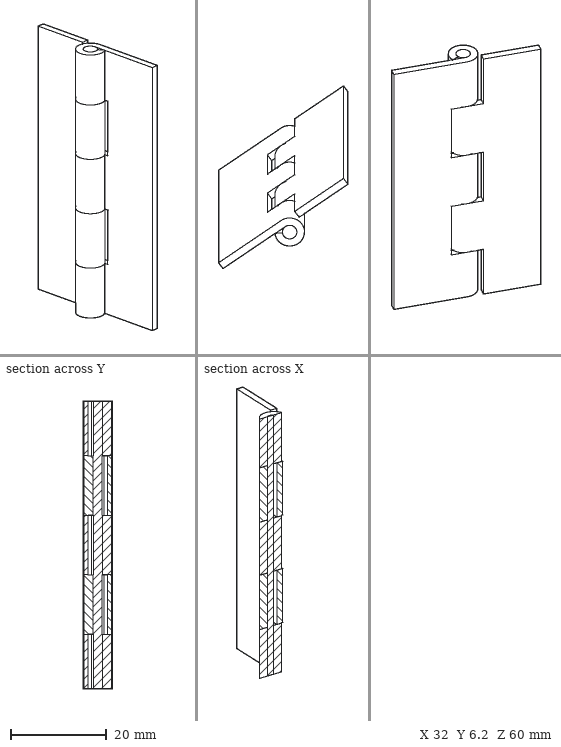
import cadquery as cq
import math

hinge_width = 32.0
hinge_height = 60.0
barrel_diameter = 6.2
sheet_thickness = 1.6
inner_knuckle_count = 3
inner_knuckle_length = 2 * barrel_diameter
barrel_clearance = 0.4
curl_end_angle = 30.0

barrel_radius = barrel_diameter / 2
pin_radius = barrel_radius - sheet_thickness
plate_edge = barrel_radius + barrel_clearance
plate_width = hinge_width / 2 - plate_edge
end_knuckle_length = (hinge_height - inner_knuckle_count * inner_knuckle_length) / 2

knuckle_lengths = [end_knuckle_length] + inner_knuckle_count * [inner_knuckle_length] + [end_knuckle_length]
knuckles = []
knuckle_start = -hinge_height / 2
for length in knuckle_lengths:
    knuckles.append((knuckle_start, length))
    knuckle_start += length


def point_on_circle(radius, angle):
    return (radius * math.cos(math.radians(angle)), radius * math.sin(math.radians(angle)))


def make_plate():
    """Flat part of a leaf on the +X side, clear of the barrel."""
    return (
        cq.Workplane("XY")
        .box(plate_width, sheet_thickness, hinge_height, centered=(False, False, True))
        .translate((plate_edge, pin_radius, 0))
    )


def make_knuckle(start, length):
    """Sheet running tangent from the plate and curled around the pin up to its end face."""
    tangent_strip = (
        cq.Workplane("XY", origin=(0, 0, start))
        .moveTo(0, pin_radius)
        .lineTo(plate_edge, pin_radius)
        .lineTo(plate_edge, barrel_radius)
        .lineTo(0, barrel_radius)
        .close()
        .extrude(length)
    )
    curl = (
        cq.Workplane("XY", origin=(0, 0, start))
        .moveTo(0, barrel_radius)
        .threePointArc((0, -barrel_radius), point_on_circle(barrel_radius, curl_end_angle))
        .lineTo(*point_on_circle(pin_radius, curl_end_angle))
        .threePointArc((0, -pin_radius), (0, pin_radius))
        .close()
        .extrude(length)
    )
    return tangent_strip.union(curl)


def make_leaf(leaf_knuckles):
    leaf = make_plate()
    for start, length in leaf_knuckles:
        leaf = leaf.union(make_knuckle(start, length))
    return leaf.solids()


def make_pin():
    return cq.Workplane("XY", origin=(0, 0, -hinge_height / 2)).circle(pin_radius).extrude(hinge_height)


three_knuckle_leaf = make_leaf(knuckles[0::2])
two_knuckle_leaf = make_leaf(knuckles[1::2]).rotate((0, 0, 0), (0, 1, 0), 180)
pin = make_pin()

result = cq.Compound.makeCompound([three_knuckle_leaf.val(), two_knuckle_leaf.val(), pin.val()])